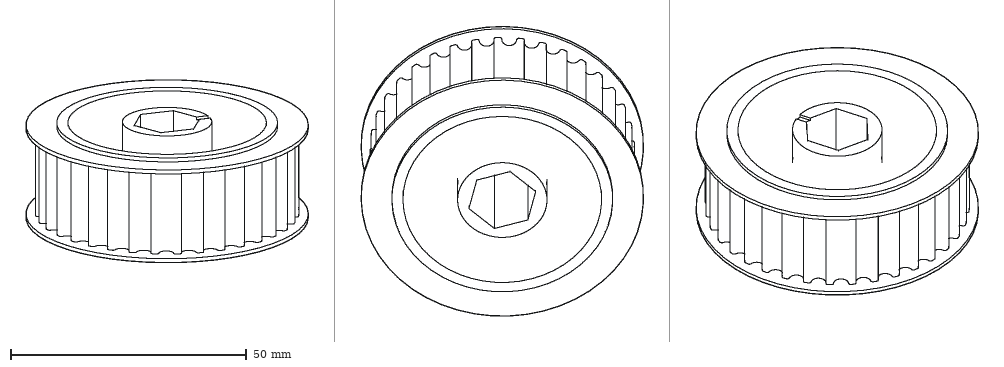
import cadquery as cq
import math

tooth_count = 36
belt_pitch = 5.0
pitch_line_offset = 0.572
tip_radius = tooth_count * belt_pitch / (2 * math.pi) - pitch_line_offset
groove_depth = 2.06
groove_radius = 1.58
tip_fillet = 0.48
belt_half_width = 9.1

overall_height = 22.225
boss_half_height = overall_height / 2
boss_radius = 9.5
collar_radius = 23.47
collar_half_height = 10.9
pocket_radius = 21.1
web_half_thickness = 1.5875
pocket_fillet = 1.0
hex_across_flats = 12.85
notch_width = 1.65
notch_depth = 0.6

flange_radius = 30.0
flange_bend_radius = 28.0
flange_thickness = 0.9
flange_flare = 0.4


def groove_cutter():
    """One belt groove on the +X side: a round bottom with parallel walls running out past the tips."""
    bottom = tip_radius - groove_depth
    arc_center = bottom + groove_radius
    outside = flange_radius
    return (
        cq.Workplane("XY")
        .workplane(offset=-belt_half_width)
        .moveTo(outside, -groove_radius)
        .lineTo(arc_center, -groove_radius)
        .threePointArc((bottom, 0), (arc_center, groove_radius))
        .lineTo(outside, groove_radius)
        .close()
        .extrude(2 * belt_half_width)
    )


def toothed_rim():
    """Solid toothed drum between the flanges, with rounded tooth tips."""
    rim = cq.Workplane("XY").circle(tip_radius).extrude(belt_half_width, both=True)
    cutter = groove_cutter()
    for index in range(tooth_count):
        angle = index * 360 / tooth_count
        rim = rim.cut(cutter.rotate((0, 0, 0), (0, 0, 1), angle))
    groove_center_radius = tip_radius - groove_depth + groove_radius
    mouth_edges = rim.edges("|Z").filter(
        lambda edge: math.hypot(edge.Center().x, edge.Center().y) > (groove_center_radius + tip_radius) / 2
    )
    return mouth_edges.fillet(tip_fillet)


def annular_pocket():
    """Ring-shaped pocket above the web, with both floor corners filleted."""
    depth = boss_half_height - web_half_thickness
    return (
        cq.Workplane("XY")
        .workplane(offset=web_half_thickness)
        .circle(pocket_radius)
        .circle(boss_radius)
        .extrude(depth)
        .faces("<Z")
        .edges()
        .fillet(pocket_fillet)
    )


def make_pulley():
    pulley = toothed_rim()
    pulley = pulley.union(cq.Workplane("XY").circle(collar_radius).extrude(collar_half_height, both=True))
    pulley = pulley.union(cq.Workplane("XY").circle(boss_radius).extrude(boss_half_height, both=True))
    upper_pocket = annular_pocket()
    pulley = pulley.cut(upper_pocket).cut(upper_pocket.mirror("XY"))

    hex_across_corners = hex_across_flats / math.cos(math.pi / 6)
    hex_bore = (
        cq.Workplane("XY")
        .polygon(6, hex_across_corners)
        .extrude(boss_half_height, both=True)
        .rotate((0, 0, 0), (0, 0, 1), 90)
    )
    pulley = pulley.cut(hex_bore)

    notch = cq.Workplane("XY").box(notch_width, boss_radius, notch_depth, centered=(True, False, False))
    return pulley.cut(notch.translate((0, 0, boss_half_height - notch_depth)))


def make_upper_flange():
    """Flat ring seated on the tooth ends around the collar, flared away from the belt at its edge."""
    inner = belt_half_width
    outer = belt_half_width + flange_thickness
    profile = [
        (collar_radius, inner),
        (flange_bend_radius, inner),
        (flange_radius, inner + flange_flare),
        (flange_radius, outer + flange_flare),
        (flange_bend_radius, outer),
        (collar_radius, outer),
    ]
    return cq.Workplane("XZ").polyline(profile).close().revolve(360, (0, 0, 0), (0, 1, 0))


pulley = make_pulley()
upper_flange = make_upper_flange()
lower_flange = upper_flange.mirror("XY")

result = cq.Compound.makeCompound([pulley.val(), upper_flange.val(), lower_flange.val()])